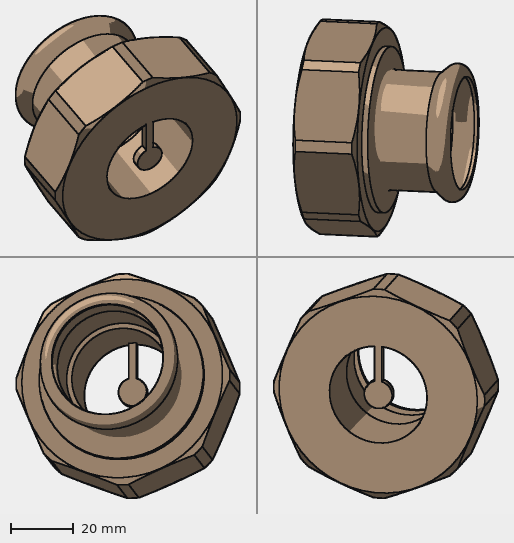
import cadquery as cq
import math

total_length = 48.0
neck_fillet = 1.9
flange_start = 25.05
nut_start = 27.0
nut_length = total_length - nut_start

tube_radius = 19.2
wall = 1.2
socket_radius = tube_radius - wall
bead_radius = 3.05
bead_centre_radius = 19.1
bead_cone_end = 7.7
stop_radius = 17.6
stop_taper_length = 0.8

flange_radius = 26.5
bore_radius = 15.95
nut_corner_radius = 34.5
nut_face_radius = 32.4
nut_across_flats = 65.05
nut_sides = 8
nut_chamfer_length = 1.25

disc_radius = 4.55
arm_width = 2.5
disc_thickness = arm_width

cone_rise = tube_radius - bead_centre_radius
cone_run = bead_cone_end - bead_radius
tangent_angle = math.atan2(cone_rise, cone_run) + math.acos(bead_radius / math.hypot(cone_run, cone_rise))
arc_mid_angle = (math.pi + tangent_angle) / 2


def bead_point(radius, angle):
    """Point (x, r) on a circle about the centre of the bead section."""
    return (bead_radius + radius * math.cos(angle), bead_centre_radius + radius * math.sin(angle))


def revolve_about_x(profile):
    return profile.close().revolve(360, (0, 0, 0), (1, 0, 0))


def make_spigot():
    """Solid outside of the beaded tube, its neck fillet and the flange."""
    fillet_mid = neck_fillet * math.sqrt(0.5)
    profile = (
        cq.Workplane("XY")
        .lineTo(0, bead_centre_radius)
        .threePointArc(bead_point(bead_radius, arc_mid_angle), bead_point(bead_radius, tangent_angle))
        .lineTo(bead_cone_end, tube_radius)
        .lineTo(flange_start - neck_fillet, tube_radius)
        .threePointArc(
            (flange_start - neck_fillet + fillet_mid, tube_radius + neck_fillet - fillet_mid),
            (flange_start, tube_radius + neck_fillet),
        )
        .lineTo(flange_start, flange_radius)
        .lineTo(nut_start, flange_radius)
        .lineTo(nut_start, 0)
    )
    return revolve_about_x(profile)


def make_nut():
    """Octagon with its corners on the Y and Z axes, turned round and chamfered."""
    octagon = (
        cq.Workplane("YZ", origin=(nut_start, 0, 0))
        .polygon(nut_sides, nut_across_flats / math.cos(math.pi / nut_sides))
        .extrude(nut_length)
    )
    envelope = (
        cq.Workplane("XY")
        .moveTo(nut_start, 0)
        .lineTo(nut_start, nut_face_radius)
        .lineTo(nut_start + nut_chamfer_length, nut_corner_radius)
        .lineTo(total_length - nut_chamfer_length, nut_corner_radius)
        .lineTo(total_length, nut_face_radius)
        .lineTo(total_length, 0)
    )
    return octagon.intersect(revolve_about_x(envelope))


def make_cavity():
    """Mouth lip, seal groove inside the bead, tapered socket and through bore."""
    groove_radius = bead_radius - wall
    groove_tangent = bead_point(groove_radius, tangent_angle)
    cone_end = groove_tangent[0] + (groove_tangent[1] - socket_radius) * math.tan(tangent_angle)
    profile = (
        cq.Workplane("XY")
        .lineTo(0, socket_radius)
        .lineTo(wall, socket_radius)
        .lineTo(wall, bead_centre_radius)
        .threePointArc(bead_point(groove_radius, arc_mid_angle), groove_tangent)
        .lineTo(cone_end, socket_radius)
        .lineTo(cone_end + stop_taper_length, stop_radius)
        .lineTo(flange_start, stop_radius)
        .lineTo(flange_start, bore_radius)
        .lineTo(total_length, bore_radius)
        .lineTo(total_length, 0)
    )
    return revolve_about_x(profile)


def make_centre_disc():
    """Disc on the axis and its arm, flush with the back of the nut."""
    back = cq.Workplane("YZ", origin=(total_length - disc_thickness, 0, 0))
    disc = back.circle(disc_radius).extrude(disc_thickness)
    arm_length = (bore_radius + nut_face_radius) / 2
    arm = back.center(0, arm_length / 2).rect(arm_width, arm_length).extrude(disc_thickness)
    return disc.union(arm)


result = make_spigot().union(make_nut()).cut(make_cavity()).union(make_centre_disc())